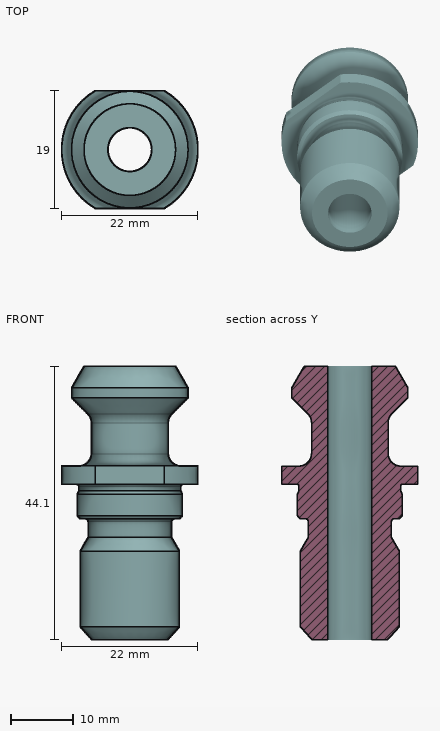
import cadquery as cq
import math

total_height = 44.1
tip_chamfer_height = 2.1
shank_top = 14.35
pilot_bottom = 19.5
pilot_chamfer_top = 20.03
pilot_top = 23.45
groove_ramp_top = 24.05
flange_bottom = 25.05
flange_thickness = 3.0
flange_top = flange_bottom + flange_thickness
head_rim_bottom = 39.05
head_rim_top = 40.63

bore_diameter = 7.0
tip_diameter = 12.17
shank_diameter = 16.0
relief_diameter = 13.5
pilot_diameter = 17.0
groove_diameter = 16.5
flange_diameter = 22.0
neck_diameter = 12.45
head_diameter = 18.8

flange_flat_width = 19.0
pilot_chamfer_width = 0.5
relief_fillet = 0.4
groove_fillet = 0.25
neck_fillet = 2.0
gentle_cone_angle = math.radians(30)
pull_face_angle = math.radians(45)

tip_radius = tip_diameter / 2
shank_radius = shank_diameter / 2
relief_radius = relief_diameter / 2
pilot_radius = pilot_diameter / 2
groove_radius = groove_diameter / 2
flange_radius = flange_diameter / 2
neck_radius = neck_diameter / 2
head_radius = head_diameter / 2

head_top_radius = head_radius - (total_height - head_rim_top) * math.tan(gentle_cone_angle)
shoulder_top = shank_top + (shank_radius - relief_radius) / math.tan(gentle_cone_angle)

neck_fillet_center_radius = neck_radius + neck_fillet
pull_face_start_radius = neck_fillet_center_radius - neck_fillet * math.cos(pull_face_angle)
pull_face_start_height = (
    head_rim_bottom - (head_radius - pull_face_start_radius) / math.tan(pull_face_angle)
)
neck_top = pull_face_start_height - neck_fillet * math.sin(pull_face_angle)


def arc_point(center_radius, center_height, arc_radius, angle_degrees):
    """Point on an arc in the radius-height half plane."""
    angle = math.radians(angle_degrees)
    return (
        center_radius + arc_radius * math.cos(angle),
        center_height + arc_radius * math.sin(angle),
    )


def make_turned_body():
    """Revolve the outer outline, drawn from the threaded end to the head."""
    relief_arc_middle = arc_point(
        relief_radius + relief_fillet, pilot_bottom - relief_fillet, relief_fillet, 135
    )
    groove_arc_middle = arc_point(
        groove_radius + groove_fillet, flange_bottom - groove_fillet, groove_fillet, 135
    )
    lower_neck_arc_middle = arc_point(
        neck_fillet_center_radius, flange_top + neck_fillet, neck_fillet, 225
    )
    upper_neck_arc_middle = arc_point(
        neck_fillet_center_radius, neck_top, neck_fillet, 180 - math.degrees(pull_face_angle) / 2
    )
    outline = (
        cq.Workplane("XZ")
        .lineTo(tip_radius, 0)
        .lineTo(shank_radius, tip_chamfer_height)
        .lineTo(shank_radius, shank_top)
        .lineTo(relief_radius, shoulder_top)
        .lineTo(relief_radius, pilot_bottom - relief_fillet)
        .threePointArc(relief_arc_middle, (relief_radius + relief_fillet, pilot_bottom))
        .lineTo(pilot_radius - pilot_chamfer_width, pilot_bottom)
        .lineTo(pilot_radius, pilot_chamfer_top)
        .lineTo(pilot_radius, pilot_top)
        .lineTo(groove_radius, groove_ramp_top)
        .lineTo(groove_radius, flange_bottom - groove_fillet)
        .threePointArc(groove_arc_middle, (groove_radius + groove_fillet, flange_bottom))
        .lineTo(flange_radius, flange_bottom)
        .lineTo(flange_radius, flange_top)
        .lineTo(neck_fillet_center_radius, flange_top)
        .threePointArc(lower_neck_arc_middle, (neck_radius, flange_top + neck_fillet))
        .lineTo(neck_radius, neck_top)
        .threePointArc(upper_neck_arc_middle, (pull_face_start_radius, pull_face_start_height))
        .lineTo(head_radius, head_rim_bottom)
        .lineTo(head_radius, head_rim_top)
        .lineTo(head_top_radius, total_height)
        .lineTo(0, total_height)
        .close()
    )
    return outline.revolve(360, (0, 0, 0), (0, 1, 0))


def make_flat_envelope():
    """Block whose Y faces form the two wrench flats of the flange."""
    return cq.Workplane("XY").box(
        flange_diameter, flange_flat_width, total_height, centered=(True, True, False)
    )


def make_bore():
    """Coolant bore along the whole axis."""
    return cq.Workplane("XY").circle(bore_diameter / 2).extrude(total_height)


result = make_turned_body().intersect(make_flat_envelope()).cut(make_bore())